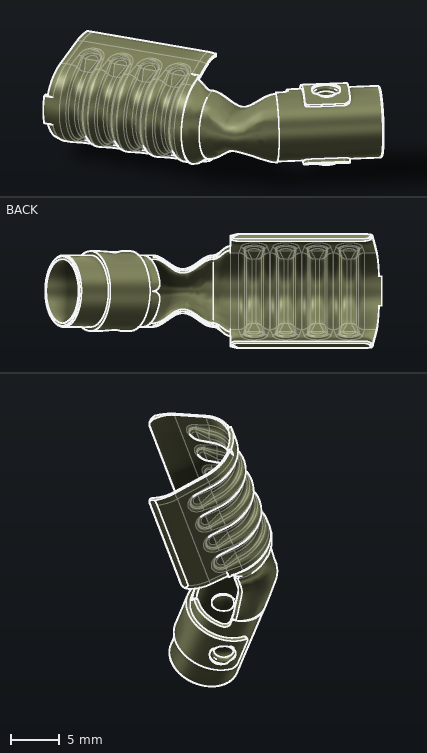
import cadquery as cq
import math

sheet = 0.4

barrel_r = 4.6
crimp_end_x = 15.5
wing_lean = 21.0
wing_flat = 3.6
crown_r = 4.03
crown_bevel_y = 8.5
wing_tip_y = 9.35
tip_thickness = 0.2
mouth_x = 0.25
mouth_slope = 0.1
wing_corner_r = 0.75
edge_bevel_depth = 0.2
mouth_bevel_length = 0.7
wing_end_bevel_length = 0.83
wing_end_bevel_y = 4.45

tab_half_width = 1.5
tab_length = 1.05
tab_height = 1.05

groove_count = 4
groove_first_x = 3.38
groove_pitch = 3.25
groove_floor_half = 0.2
groove_shoulder_r = 0.85
groove_root_r = 0.8
groove_flank_run = 0.2
groove_end_floor_half = 0.65
groove_end_scale = 0.52
groove_end_run = 1.5

neck_r = 3.7
neck_bottom_y = 0.62
neck_start_x = 17.22
waist_x = 20.32
waist_half_width = 2.27
waist_height = 4.1
rim_bevel_height = 0.38
rim_notch_x = 16.25
rim_notch_y = 4.7
rim_notch_r = 0.85

tube_reach_x = 34.5
tube_reach_y = 14.67
tube_angle = 30.0
tube_length = 10.78
tube_full_length = 9.45
tube_cut_r = 0.7
tube_end_chamfer = 0.15
seam_corner_r = 0.85

collar_start = 3.3
collar_width = 4.7
collar_drop_angle = 38.5
collar_front_r = 0.7
collar_back_r = 0.35

dimple_offset = 0.55
dimple_plug_r = 1.25
dimple_tip_z = 2.55
dimple_throat_r = 1.0
dimple_rim_round = 0.45
dimple_rim_sink = 0.2
dome_r = 1.75

reach = 6.9
face_tolerance = 0.017


lean = math.radians(wing_lean)
lean_cos = math.cos(lean)
lean_sin = math.sin(lean)
turn = math.radians(tube_angle)
tube_cos = math.cos(turn)
tube_sin = math.sin(turn)
half_turn_sin = math.sin(math.radians(45))
eighth_sin = math.sin(math.radians(22.5))
eighth_cos = math.cos(math.radians(22.5))

tube_end = (tube_reach_x - neck_r * tube_sin, tube_reach_y - neck_r * tube_cos, 0)
tube_across = cq.Plane(tube_end, xDir=(0, 0, 1), normal=(-tube_cos, -tube_sin, 0))
tube_side = cq.Plane(tube_end, xDir=(-tube_cos, -tube_sin, 0), normal=(0, 0, -1))
tube_roof = cq.Plane(tube_end, xDir=(-tube_cos, -tube_sin, 0), normal=(-tube_sin, tube_cos, 0))


def wing_point(along, depth):
    """Point (y, z) at a distance up the straight wing and a depth below its outer face."""
    radius = barrel_r - depth
    y = barrel_r - radius * lean_sin + along * lean_cos
    z = radius * lean_cos + along * lean_sin
    return (y, z)


wing_top = wing_point(wing_flat, 0)
crown_center = (wing_top[0] + crown_r * lean_sin, wing_top[1] - crown_r * lean_cos)


groove_centers = [groove_first_x + i * groove_pitch for i in range(groove_count)]


def groove_flank(floor_half, scale):
    """Points (offset, depth) of one flank: shoulder arc, 45 degree slope, root arc."""
    shoulder = groove_shoulder_r * scale
    root = groove_root_r * scale
    run = groove_flank_run * scale
    depth = (shoulder + root) * (1 - half_turn_sin) + run
    half = floor_half + (shoulder + root) * half_turn_sin + run
    return [
        (half, 0),
        (half - shoulder * eighth_sin, shoulder * (1 - eighth_cos)),
        (half - shoulder * half_turn_sin, shoulder * (1 - half_turn_sin)),
        (floor_half + root * half_turn_sin, depth - root * (1 - half_turn_sin)),
        (floor_half + root * eighth_sin, depth - root * (1 - eighth_cos)),
        (floor_half, depth),
    ]


def draw_flank(path, points):
    path = path.lineTo(*points[0]).threePointArc(points[1], points[2])
    return path.lineTo(*points[3]).threePointArc(points[4], points[5])


def draw_groove(path, center, base, floor_half, scale, side=1):
    """Extend a path across a whole groove; side is 1 along +x and -1 along -x."""
    flank = groove_flank(floor_half, scale)
    down = [(center - side * offset, base + depth) for offset, depth in flank]
    up = [(center + side * offset, base + depth) for offset, depth in reversed(flank)]
    return draw_flank(draw_flank(path, down), up)


def groove_runout(center, depth):
    """End of a groove on the wing as a solid, sunk by a depth below the wing face."""
    cover = -sheet / 2

    def section_plane(along):
        return cq.Workplane(
            cq.Plane(
                (center, *wing_point(along, depth)),
                xDir=(1, 0, 0),
                normal=(0, lean_cos, lean_sin),
            )
        )

    def section(along, floor_half, scale):
        half = groove_flank(floor_half, scale)[0][0]
        path = section_plane(along).moveTo(-half, cover)
        path = draw_groove(path, 0, 0, floor_half, scale)
        return path.lineTo(half, cover).close().val()

    channel = cq.Solid.makeLoft(
        [
            section(0, groove_floor_half, 1),
            section(groove_end_run, groove_end_floor_half, groove_end_scale),
        ],
        True,
    )
    flank = groove_flank(groove_end_floor_half, groove_end_scale)
    path = section_plane(groove_end_run).moveTo(0, cover).lineTo(flank[0][0], cover)
    round_end = draw_flank(path, flank).lineTo(0, flank[-1][1]).close().revolve(360, (0, 0), (0, 1))
    return round_end.union(cq.Workplane(channel))


def round_back():
    """Corrugated band swept around the barrel axis between the two wings."""
    path = cq.Workplane("XY")
    for center in groove_centers:
        path = draw_groove(path, center, 0, groove_floor_half, 1)
    path = path.lineTo(crimp_end_x, 0).lineTo(crimp_end_x, sheet)
    for center in reversed(groove_centers):
        path = draw_groove(path, center, sheet, groove_floor_half, 1, side=-1)
    half_angle = 90 - wing_lean
    band = path.lineTo(0, sheet).close().revolve(2 * half_angle, (0, barrel_r), (1, barrel_r))
    return band.rotate((0, barrel_r, 0), (1, barrel_r, 0), -half_angle)


def plain_wing():
    """Flat and curled part of the +Z wing."""
    crown_y, crown_z = crown_center
    inner_r = crown_r - sheet

    def on_crown(radius, y):
        return (y, crown_z + math.sqrt(radius ** 2 - (y - crown_y) ** 2))

    return (
        cq.Workplane("YZ")
        .moveTo(*wing_point(0, 0))
        .lineTo(*wing_top)
        .threePointArc(on_crown(crown_r, crown_y), on_crown(crown_r, crown_bevel_y))
        .lineTo(*on_crown(inner_r + tip_thickness, wing_tip_y))
        .lineTo(*on_crown(inner_r, wing_tip_y))
        .threePointArc(on_crown(inner_r, crown_y), wing_point(wing_flat, sheet))
        .lineTo(*wing_point(0, sheet))
        .close()
        .extrude(crimp_end_x)
    )


def wing():
    plate = plain_wing()
    for center in groove_centers:
        plate = plate.union(groove_runout(center, sheet))
    for center in groove_centers:
        plate = plate.cut(groove_runout(center, 0))
    return plate


def side_outline(top_y):
    """Prism that trims the crimp to its slanted mouth and its end."""
    return (
        cq.Workplane("XY")
        .moveTo(mouth_x - mouth_slope * sheet, -sheet)
        .lineTo(crimp_end_x, -sheet)
        .lineTo(crimp_end_x, top_y)
        .lineTo(mouth_x + mouth_slope * top_y, top_y)
        .close()
        .extrude(reach, both=True)
    )


def on_outer_face(edge):
    """True if the middle of an end edge lies on the outer face of the back or a wing."""
    middle = edge.positionAt(0.5)
    y = middle.y
    z = abs(middle.z)
    if y > wing_top[0]:
        miss = math.hypot(y - crown_center[0], z - crown_center[1]) - crown_r
    elif y > wing_point(0, 0)[0]:
        miss = (barrel_r - y) * lean_sin + z * lean_cos - barrel_r
    else:
        miss = math.hypot(y - barrel_r, z) - barrel_r
    return abs(miss) < face_tolerance


def bevel_end(shell, end_face, length, low_y):
    """Thin an end of the crimp from outside, along its outer edges above a height."""
    edges = [
        edge
        for edge in shell.faces(end_face).edges().vals()
        if on_outer_face(edge) and edge.positionAt(0.5).y >= low_y
    ]
    return cq.Workplane(shell.val().chamfer(length, edge_bevel_depth, edges))


def crimp():
    upper = wing()
    shell = round_back().union(upper).union(upper.mirror("XY"))
    trimmed = shell.intersect(side_outline(wing_tip_y + sheet))
    beveled = bevel_end(trimmed, "<X", mouth_bevel_length, 0)
    beveled = bevel_end(beveled, ">X", wing_end_bevel_length, wing_point(0, 0)[0])
    rounded_outline = side_outline(wing_tip_y).edges("|Z and >Y").fillet(wing_corner_r)
    rounded = beveled.intersect(rounded_outline)
    tab_box = cq.Workplane("XY").box(
        tab_length, tab_height, 2 * tab_half_width, centered=(False, False, True)
    )
    root_box = (
        cq.Workplane("XY")
        .box(wing_end_bevel_length, wing_end_bevel_y, 2 * reach, centered=(False, False, True))
        .translate((crimp_end_x - wing_end_bevel_length, 0, 0))
    )
    return rounded.union(shell.intersect(tab_box)).union(trimmed.intersect(root_box))


def blend(low, high, share):
    """Smooth step from low to high with level ends."""
    return low + (high - low) * (1 - math.cos(math.pi * share)) / 2


def hanging_plane(x, y, angle, height):
    """Plane across the neck at rim height: local x is Z, local y points down to the bottom."""
    c = math.cos(angle)
    s = math.sin(angle)
    return cq.Plane((x - height * s, y + height * c, 0), xDir=(0, 0, 1), normal=(c, s, 0))


def outer_section(x, y, angle, half_width, height):
    """Half ellipse with beveled rims on top."""
    rim_half_width = half_width - edge_bevel_depth
    return (
        cq.Workplane(hanging_plane(x, y, angle, height))
        .moveTo(0, rim_bevel_height)
        .ellipseArc(half_width, height - rim_bevel_height, 0, 180, startAtCurrent=False)
        .lineTo(-rim_half_width, 0)
        .lineTo(rim_half_width, 0)
        .close()
        .val()
    )


def inner_section(x, y, angle, half_width, height):
    """Half ellipse one sheet inside the outer one, open past the rims."""
    inner_half_width = half_width - sheet
    return (
        cq.Workplane(hanging_plane(x, y, angle, height))
        .ellipseArc(inner_half_width, height - sheet, 0, 180, startAtCurrent=False)
        .lineTo(-inner_half_width, -sheet)
        .lineTo(inner_half_width, -sheet)
        .close()
        .val()
    )


def trough(stations):
    outer = cq.Solid.makeLoft([outer_section(*station) for station in stations])
    inner = cq.Solid.makeLoft([inner_section(*station) for station in stations])
    return cq.Workplane(outer).cut(cq.Workplane(inner))


def shoulder():
    """Taper from the barrel to the neck, with a round notch in each rim."""
    steps = 4
    stations = []
    for i in range(steps + 1):
        share = i / steps
        radius = blend(barrel_r, neck_r, share)
        x = crimp_end_x + share * (neck_start_x - crimp_end_x)
        stations.append((x, neck_bottom_y * share ** 3, 0, radius, radius))
    notch = (
        cq.Workplane("XY").center(rim_notch_x, rim_notch_y).circle(rim_notch_r).extrude(reach, both=True)
    )
    return trough(stations).cut(notch)


def neck():
    """Trough that narrows to its waist and bends into the direction of the tube."""
    foot_x = tube_reach_x - tube_length * tube_cos
    foot_y = tube_reach_y - 2 * neck_r * tube_cos - tube_length * tube_sin
    corner_x = foot_x - (foot_y - neck_bottom_y) / math.tan(turn)
    bend_tangent = corner_x - waist_x
    bend_r = bend_tangent / math.tan(turn / 2)
    straight = (foot_x - corner_x) / tube_cos - bend_tangent

    def sized(x, y, angle, share):
        """Station with its share of the way from the waist to full width."""
        half_width = blend(waist_half_width, neck_r, share)
        height = blend(waist_height, neck_r, share)
        return (x, y, angle, half_width, height)

    stations = []
    level_steps = 4
    for i in range(level_steps):
        share = 1 - i / level_steps
        stations.append(sized(waist_x - share * (waist_x - neck_start_x), neck_bottom_y, 0, share))
    bend_length = bend_r * turn
    run_length = bend_length + straight
    run_steps = 6
    for i in range(run_steps + 1):
        share = i / run_steps
        travelled = share * run_length
        path_angle = min(travelled / bend_r, turn)
        past_bend = max(travelled - bend_length, 0)
        x = waist_x + bend_r * math.sin(path_angle) + past_bend * tube_cos
        y = neck_bottom_y + bend_r * (1 - math.cos(path_angle)) + past_bend * tube_sin
        stations.append(sized(x, y, share * turn, share))
    return trough(stations)


collar_r = neck_r + sheet


def dimple_plane():
    """Plane through the dimple axis: local x is the radius and local y is Z."""
    back = collar_start + collar_width / 2
    x = tube_end[0] - back * tube_cos + dimple_offset * tube_sin
    y = tube_end[1] - back * tube_sin - dimple_offset * tube_cos
    return cq.Workplane(cq.Plane((x, y, 0), xDir=(1, 0, 0), normal=(0, -1, 0)))


def dome_point(radius, angle):
    """Point of a sphere about the dimple dome centre, at an angle from straight down."""
    return (radius * math.sin(angle), dimple_tip_z + dome_r - radius * math.cos(angle))


def dimple_plug():
    """Round peg with a domed tip."""
    edge = math.asin(dimple_plug_r / dome_r)
    return (
        dimple_plane()
        .moveTo(*dome_point(dome_r, 0))
        .threePointArc(dome_point(dome_r, edge / 2), dome_point(dome_r, edge))
        .lineTo(dimple_plug_r, collar_r - sheet / 2)
        .lineTo(0, collar_r - sheet / 2)
        .close()
        .revolve(360, (0, 0), (0, 1))
    )


def dimple_cup():
    """Hollow of the dimple: domed floor and a rounded rim."""
    floor_r = dome_r - sheet
    edge = math.asin(dimple_throat_r / floor_r)
    rim_r = dimple_throat_r + dimple_rim_round
    rim_z = collar_r - dimple_rim_sink
    return (
        dimple_plane()
        .moveTo(*dome_point(floor_r, 0))
        .threePointArc(dome_point(floor_r, edge / 2), dome_point(floor_r, edge))
        .lineTo(dimple_throat_r, rim_z - dimple_rim_round)
        .radiusArc((rim_r, rim_z), dimple_rim_round)
        .lineTo(rim_r, reach)
        .lineTo(0, reach)
        .close()
        .revolve(360, (0, 0), (0, 1))
    )


def tube():
    pipe = (
        cq.Workplane(tube_across)
        .circle(neck_r)
        .extrude(tube_length)
        .faces(">X")
        .edges()
        .chamfer(tube_end_chamfer)
    )
    bore = cq.Workplane(tube_across).circle(neck_r - sheet).extrude(tube_length)
    opening = (
        cq.Workplane(tube_side)
        .moveTo(tube_full_length + tube_cut_r, 0)
        .lineTo(tube_length + reach, 0)
        .lineTo(tube_length + reach, reach)
        .lineTo(tube_full_length, reach)
        .lineTo(tube_full_length, tube_cut_r)
        .radiusArc((tube_full_length + tube_cut_r, 0), -tube_cut_r)
        .close()
        .extrude(reach, both=True)
    )
    side = seam_corner_r * (1 - half_turn_sin)
    seam_notch = (
        cq.Workplane(tube_roof)
        .moveTo(tube_full_length, -seam_corner_r)
        .threePointArc((tube_full_length - side, -side), (tube_full_length - seam_corner_r, 0))
        .threePointArc((tube_full_length - side, side), (tube_full_length, seam_corner_r))
        .close()
        .extrude(reach)
    )
    pipe = pipe.cut(bore).cut(opening).cut(seam_notch)
    plug = dimple_plug()
    return pipe.cut(plug).cut(plug.mirror("XY"))



def collar():
    band = (
        cq.Workplane(tube_across)
        .workplane(offset=collar_start)
        .circle(collar_r)
        .circle(neck_r)
        .extrude(collar_width)
    )
    edge_plane = cq.Plane(tube_end, xDir=tube_side.xDir, normal=tube_side.zDir)
    edge_plane = edge_plane.rotated((collar_drop_angle, 0, 0))
    keep = (
        cq.Workplane(edge_plane)
        .moveTo(collar_start, 2 * reach)
        .lineTo(collar_start, collar_front_r)
        .radiusArc((collar_start + collar_front_r, 0), -collar_front_r)
        .lineTo(collar_start + collar_width - collar_back_r, 0)
        .radiusArc((collar_start + collar_width, collar_back_r), -collar_back_r)
        .lineTo(collar_start + collar_width, 2 * reach)
        .close()
        .extrude(reach, both=True)
    )
    band = band.intersect(keep.union(keep.mirror("XY")))
    cup = dimple_cup()
    plug = dimple_plug()
    for dimple, hollow in ((plug, cup), (plug.mirror("XY"), cup.mirror("XY"))):
        band = band.union(dimple).cut(hollow)
    return band


terminal = crimp().union(shoulder()).union(neck()).union(tube())
collar_band = collar()
result = cq.Compound.makeCompound([*terminal.vals(), *collar_band.vals()])